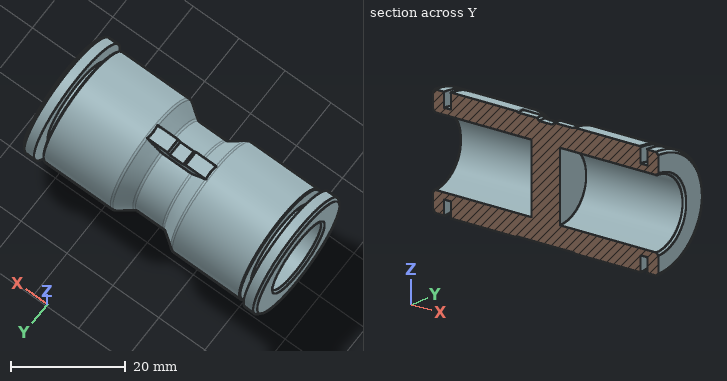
import cadquery as cq

length = 50.8
middle = length / 2

flange_width = 25.0
flange_height = 23.05
flange_thickness = 2.6
flange_chamfer = 0.5
collar_diameter = 17.15
collar_length = 1.35

body_diameter = 23.5
body_edge_chamfer = 0.15
neck_diameter = 18.95
neck_length = 6.5
waist_length = 13.0
waist_blend_radius = 0.8

rib_width = 3.05
rib_overlap = 1.0
rib_height = 11.6
notch_depth = 0.45
notch_floor_length = 2.95
notch_top_length = notch_floor_length + 2 * notch_depth

bore_diameter = 14.35
bore_mouth_chamfer = 0.45
bore_depth = (length - neck_length) / 2

body_start = flange_thickness + collar_length
waist_start = middle - waist_length / 2
neck_start = middle - neck_length / 2


def make_body():
    """Revolve the waisted body, rounding the edges of the two cones."""
    body_radius = body_diameter / 2
    neck_radius = neck_diameter / 2
    body = (
        cq.Workplane("XZ")
        .moveTo(body_start, 0)
        .lineTo(body_start, body_radius)
        .lineTo(waist_start, body_radius)
        .lineTo(neck_start, neck_radius)
        .lineTo(length - neck_start, neck_radius)
        .lineTo(length - waist_start, body_radius)
        .lineTo(length - body_start, body_radius)
        .lineTo(length - body_start, 0)
        .close()
        .revolve(360, (0, 0, 0), (1, 0, 0))
    )
    waist_edges = cq.selectors.BoxSelector(
        (body_start + body_edge_chamfer, -body_diameter, -body_diameter),
        (length - body_start - body_edge_chamfer, body_diameter, body_diameter),
    )
    body = body.edges("%CIRCLE").edges(waist_edges).fillet(waist_blend_radius)
    return body.faces("<X or >X").edges().chamfer(body_edge_chamfer)


def make_flange():
    """Oval flange at X = 0, with its collar reaching the body."""
    flange = (
        cq.Workplane("YZ")
        .ellipse(flange_width / 2, flange_height / 2)
        .extrude(flange_thickness)
        .faces("<X")
        .chamfer(flange_chamfer)
    )
    collar = cq.Workplane("YZ").circle(collar_diameter / 2).extrude(body_start)
    return flange.union(collar)


def make_ribs():
    """Flat rib through the waist and into the body, notched on its top edge only."""
    rib_length = waist_length + 2 * rib_overlap
    rib = cq.Workplane("XY").box(rib_length, rib_width, 2 * rib_height)
    rib = rib.translate((middle, 0, 0))
    notch = (
        cq.Workplane("XZ")
        .moveTo(middle - notch_top_length / 2, rib_height)
        .lineTo(middle - notch_floor_length / 2, rib_height - notch_depth)
        .lineTo(middle + notch_floor_length / 2, rib_height - notch_depth)
        .lineTo(middle + notch_top_length / 2, rib_height)
        .close()
        .extrude(rib_width / 2, both=True)
    )
    return rib.cut(notch)


def make_bore():
    """Blind socket entered from X = 0, with a conical mouth."""
    bore_radius = bore_diameter / 2
    return (
        cq.Workplane("XY")
        .moveTo(0, 0)
        .lineTo(0, bore_radius + bore_mouth_chamfer)
        .lineTo(bore_mouth_chamfer, bore_radius)
        .lineTo(bore_depth, bore_radius)
        .lineTo(bore_depth, 0)
        .close()
        .revolve(360, (0, 0, 0), (1, 0, 0))
    )


def at_far_end(shape):
    """Mirror an end feature to the opposite end of the part."""
    return shape.mirror("YZ", (middle, 0, 0))


flange = make_flange()
bore = make_bore()
result = make_body().union(make_ribs())
result = result.union(flange).union(at_far_end(flange))
result = result.cut(bore).cut(at_far_end(bore))